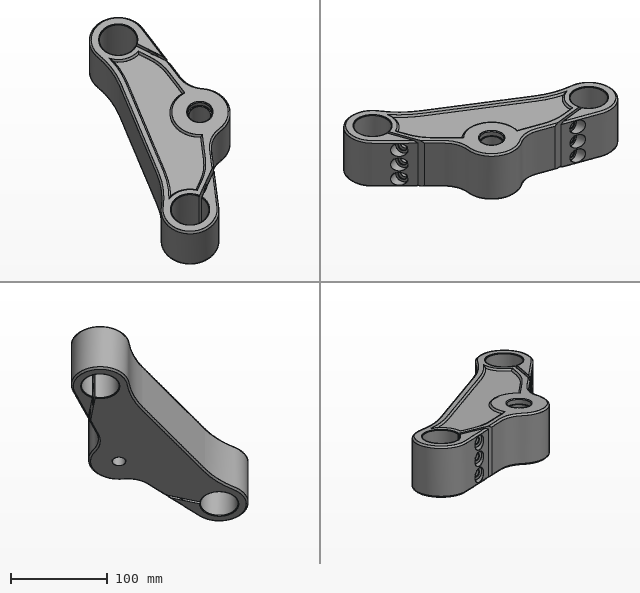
import math

import cadquery as cq

HEIGHT = 57.0
TUBE_X = 115.0
STEM_Y = 50.0
RING_RADIUS = 30.0
BOSS_RADIUS = 31.5
EDGE_CHAMFER = 2.0

FLANK_ANGLE = 13.0
BOSS_BLEND_RADIUS = 30.0
REAR_EDGE_Y = -17.5
REAR_BLEND_RADIUS = 95.0

TUBE_BORE_DIAMETER = 39.0
TUBE_BORE_CHAMFER = 0.8

STEM_HOLE_DIAMETER = 14.0
STEM_BORE_DIAMETER = 22.5
STEM_SEAT_DIAMETER = 25.35
STEM_SEAT_DEPTH = 6.0
STEM_BORE_DEPTH = 45.0
STEM_CHAMFER = 1.0

SLOT_ANGLE = 39.5
SLOT_WIDTH = 3.0
SLOT_OFFSET = 4.4
SLOT_LENGTH = 80.0

SCREW_COUNT = 3
SCREW_PITCH = 18.0
SCREW_REACH = 38.0
HEAD_DIAMETER = 16.0
CLEARANCE_DIAMETER = 10.2
TAP_DIAMETER = 8.53
HEAD_SEAT_GAP = 1.0
HEAD_CLEAR_LENGTH = 30.0
TAP_DEPTH = 20.0

POCKET_DEPTH = 2.0
POCKET_WALL_ANGLE = 45.0
REAR_RIM = 7.2
FLANK_RIM = 7.5
SLOT_RIM = 4.5
POCKET_RING_RADIUS = 25.5
POCKET_BOSS_RADIUS = 29.0
POCKET_BEND_RADIUS = 60.0

TUBE = cq.Vector(-TUBE_X, 0, 0)
STEM = cq.Vector(0, STEM_Y, 0)

REAR_BLEND_DROP = REAR_BLEND_RADIUS - REAR_EDGE_Y
REAR_BLEND = cq.Vector(
    -TUBE_X + math.sqrt((RING_RADIUS + REAR_BLEND_RADIUS) ** 2 - REAR_BLEND_DROP ** 2),
    -REAR_BLEND_DROP,
    0,
)


def direction(angle):
    """Unit vector in the XY plane at an angle in degrees from +X."""
    return cq.Vector(math.cos(math.radians(angle)), math.sin(math.radians(angle)), 0)


ALONG_FLANK = direction(FLANK_ANGLE)
ACROSS_FLANK = direction(FLANK_ANGLE + 90)
ALONG_SLOT = direction(SLOT_ANGLE)
ACROSS_SLOT = direction(SLOT_ANGLE + 90)


def heading(start, end):
    """Angle in degrees of the direction from start to end."""
    return math.degrees(math.atan2(end.y - start.y, end.x - start.x))


def arc(centre, start, end):
    """The shorter circular arc about centre from start to end."""
    radius = (start - centre).Length
    bisector = ((start - centre) + (end - centre)).normalized()
    return cq.Edge.makeThreePointArc(start, centre + bisector * radius, end)


def line_circle(point, along, centre, radius, side):
    """Where a line meets a circle; side is -1 for the first crossing, +1 for the last."""
    to_centre = centre - point
    middle = to_centre.dot(along)
    offset = (to_centre - along * middle).Length
    return point + along * (middle + side * math.sqrt(radius ** 2 - offset ** 2))


def mirrored_wire(left_edges):
    """Closed wire from the edges left of X = 0 and their mirror images."""
    right_edges = [edge.mirror("YZ") for edge in left_edges]
    return cq.Wire.assembleEdges(left_edges + right_edges[::-1])


def make_body():
    rear_middle = cq.Vector(0, REAR_EDGE_Y, 0)
    rear_end = cq.Vector(REAR_BLEND.x, REAR_EDGE_Y, 0)
    ring_rear = TUBE + (REAR_BLEND - TUBE).normalized() * RING_RADIUS
    ring_outer = TUBE - cq.Vector(RING_RADIUS, 0, 0)
    ring_front = TUBE + ACROSS_FLANK * RING_RADIUS

    blend_line = ring_front + ACROSS_FLANK * BOSS_BLEND_RADIUS
    blend_centre = line_circle(blend_line, ALONG_FLANK, STEM, BOSS_RADIUS + BOSS_BLEND_RADIUS, -1)
    flank_end = blend_centre - ACROSS_FLANK * BOSS_BLEND_RADIUS
    boss_start = STEM + (blend_centre - STEM).normalized() * BOSS_RADIUS
    boss_top = STEM + cq.Vector(0, BOSS_RADIUS, 0)

    outline = mirrored_wire([
        cq.Edge.makeLine(rear_middle, rear_end),
        arc(REAR_BLEND, rear_end, ring_rear),
        arc(TUBE, ring_rear, ring_outer),
        arc(TUBE, ring_outer, ring_front),
        cq.Edge.makeLine(ring_front, flank_end),
        arc(blend_centre, flank_end, boss_start),
        arc(STEM, boss_start, boss_top),
    ])
    body = cq.Workplane(cq.Solid.extrudeLinear(outline, [], cq.Vector(0, 0, HEIGHT))).clean()
    return body.faces("<Z or >Z").edges().chamfer(EDGE_CHAMFER)


def make_pocket():
    rear_y = REAR_EDGE_Y + REAR_RIM
    rear_middle = cq.Vector(0, rear_y, 0)
    rear_end = cq.Vector(REAR_BLEND.x, rear_y, 0)

    rear_radius = REAR_BLEND_RADIUS + REAR_RIM
    spacing = (REAR_BLEND - TUBE).Length
    reach = (spacing ** 2 + POCKET_RING_RADIUS ** 2 - rear_radius ** 2) / (2 * spacing)
    swing = math.degrees(math.acos(reach / POCKET_RING_RADIUS))
    rear_corner = TUBE + direction(heading(TUBE, REAR_BLEND) + swing) * POCKET_RING_RADIUS

    slot_line = TUBE + ACROSS_SLOT * (SLOT_OFFSET - SLOT_WIDTH / 2 - SLOT_RIM)
    flank_line = TUBE + ACROSS_FLANK * (RING_RADIUS - FLANK_RIM)
    slot_corner = line_circle(slot_line, ALONG_SLOT, TUBE, POCKET_RING_RADIUS, 1)
    boss_corner = line_circle(flank_line, ALONG_FLANK, STEM, POCKET_BOSS_RADIUS, -1)
    boss_bottom = STEM - cq.Vector(0, POCKET_BOSS_RADIUS, 0)

    run = (flank_line - slot_line).dot(ACROSS_FLANK) / ALONG_SLOT.dot(ACROSS_FLANK)
    bend = slot_line + ALONG_SLOT * run
    setback = POCKET_BEND_RADIUS * math.tan(math.radians(SLOT_ANGLE - FLANK_ANGLE) / 2)
    bend_start = bend - ALONG_SLOT * setback
    bend_end = bend + ALONG_FLANK * setback
    bend_centre = bend_start - ACROSS_SLOT * POCKET_BEND_RADIUS

    outline = mirrored_wire([
        cq.Edge.makeLine(rear_middle, rear_end),
        arc(REAR_BLEND, rear_end, rear_corner),
        arc(TUBE, rear_corner, slot_corner),
        cq.Edge.makeLine(slot_corner, bend_start),
        arc(bend_centre, bend_start, bend_end),
        cq.Edge.makeLine(bend_end, boss_corner),
        arc(STEM, boss_corner, boss_bottom),
    ])
    depth = cq.Vector(0, 0, -POCKET_DEPTH)
    pocket = cq.Solid.extrudeLinear(outline, [], depth, POCKET_WALL_ANGLE)
    return cq.Workplane(pocket).translate((0, 0, HEIGHT))


def cut_tube_bores(body):
    bored = (
        body.faces(">Z").workplane(origin=(0, 0, HEIGHT))
        .pushPoints([(-TUBE_X, 0), (TUBE_X, 0)])
        .hole(TUBE_BORE_DIAMETER)
    )
    for x in (-TUBE_X, TUBE_X):
        for z in (0, HEIGHT):
            rim = cq.selectors.NearestToPointSelector((x, 0, z))
            bored = bored.edges("%CIRCLE").edges(rim).chamfer(TUBE_BORE_CHAMFER)
    return bored


def make_stem_bore():
    """Stepped stem bore, revolved about the stem axis."""
    hole = STEM_HOLE_DIAMETER / 2
    bore = STEM_BORE_DIAMETER / 2
    seat = STEM_SEAT_DIAMETER / 2
    return (
        cq.Workplane("XZ")
        .moveTo(0, 0)
        .lineTo(hole, 0)
        .lineTo(hole, HEIGHT - STEM_BORE_DEPTH)
        .lineTo(bore, HEIGHT - STEM_BORE_DEPTH)
        .lineTo(bore, HEIGHT - STEM_SEAT_DEPTH)
        .lineTo(seat, HEIGHT - STEM_SEAT_DEPTH)
        .lineTo(seat, HEIGHT - STEM_CHAMFER)
        .lineTo(seat + STEM_CHAMFER, HEIGHT)
        .lineTo(0, HEIGHT)
        .close()
        .revolve(360, (0, 0, 0), (0, 1, 0))
        .translate(STEM)
    )


def make_clamp_cut():
    """Slot and screw holes of the left clamp, built along X from the tube axis and then turned."""
    cut = (
        cq.Workplane("XY")
        .box(SLOT_LENGTH, SLOT_WIDTH, HEIGHT, centered=(False, True, False))
        .translate((0, SLOT_OFFSET, 0))
    )
    slot_outer = SLOT_OFFSET + SLOT_WIDTH / 2
    slot_inner = SLOT_OFFSET - SLOT_WIDTH / 2
    seat_y = slot_outer + HEAD_SEAT_GAP
    along_screw = cq.Vector(0, 1, 0)
    for index in range(SCREW_COUNT):
        z = HEIGHT / 2 + (index - (SCREW_COUNT - 1) / 2) * SCREW_PITCH
        holes = (
            (HEAD_DIAMETER, seat_y, HEAD_CLEAR_LENGTH),
            (CLEARANCE_DIAMETER, SLOT_OFFSET, seat_y - SLOT_OFFSET),
            (TAP_DIAMETER, slot_inner - TAP_DEPTH, TAP_DEPTH),
        )
        for diameter, start_y, length in holes:
            start = cq.Vector(SCREW_REACH, start_y, z)
            hole = cq.Solid.makeCylinder(diameter / 2, length, start, along_screw)
            cut = cut.union(cq.Workplane(hole))
    return cut.rotate((0, 0, 0), (0, 0, 1), SLOT_ANGLE).translate(TUBE)


clamp_cut = make_clamp_cut()
result = (
    cut_tube_bores(make_body())
    .cut(make_pocket())
    .cut(make_stem_bore())
    .cut(clamp_cut)
    .cut(clamp_cut.mirror("YZ"))
)